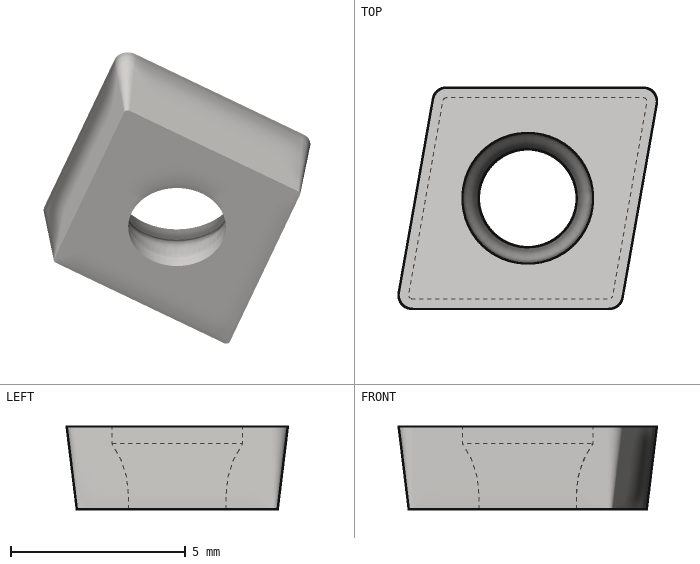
import cadquery as cq
import math


inscribed_diameter = 6.35
thickness = 2.38
nose_radius = 0.4
corner_angle = 80.0
clearance_angle = 7.0

bore_diameter = 2.8
seat_diameter = 3.75
seat_straight_depth = 0.5
seat_arc_radius = 2.5

bore_radius = bore_diameter / 2
seat_radius = seat_diameter / 2


def rhombus_corners(flat_distance):
    """Corners of a rhombus whose sides lie flat_distance from its centre."""
    angle = math.radians(corner_angle)
    half_side = flat_distance / math.sin(angle)
    lean = flat_distance / math.tan(angle)
    return [
        (-half_side - lean, -flat_distance),
        (half_side - lean, -flat_distance),
        (half_side + lean, flat_distance),
        (-half_side + lean, flat_distance),
    ]


def make_body():
    """Rounded rhombus, full size on top, with conical corners narrowing downward."""
    core = rhombus_corners(inscribed_diameter / 2 - nose_radius)
    outline = cq.Workplane("XY").polyline(core).close().offset2D(nose_radius)
    return outline.extrude(-thickness, taper=clearance_angle)


def make_screw_hole():
    """Revolved cutter: cylindrical entry, curved seat, then a straight through bore."""
    seat_angle = math.acos(1 - (seat_radius - bore_radius) / seat_arc_radius)
    seat_bottom = -seat_straight_depth - seat_arc_radius * math.sin(seat_angle)
    arc_middle = (
        bore_radius + seat_arc_radius * (1 - math.cos(seat_angle / 2)),
        seat_bottom + seat_arc_radius * math.sin(seat_angle / 2),
    )
    profile = (
        cq.Workplane("XZ")
        .lineTo(seat_radius, 0)
        .lineTo(seat_radius, -seat_straight_depth)
        .threePointArc(arc_middle, (bore_radius, seat_bottom))
        .lineTo(bore_radius, -thickness)
        .lineTo(0, -thickness)
        .close()
    )
    return profile.revolve(360, (0, 0, 0), (0, 1, 0))


result = make_body().cut(make_screw_hole())